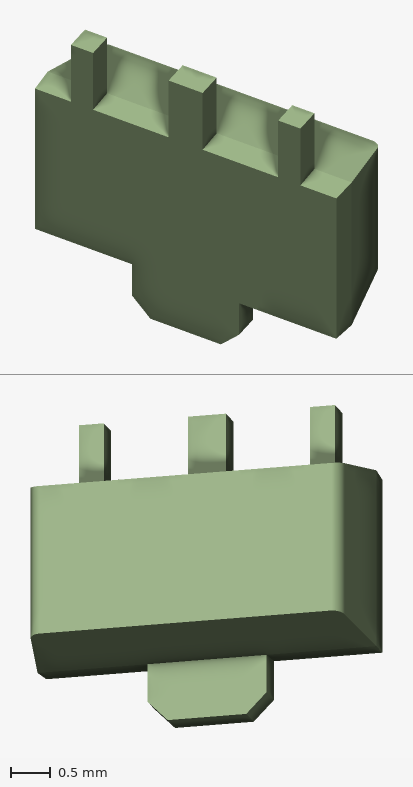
import cadquery as cq
import math

housing_width = 4.4
housing_height = 2.3
housing_depth = 1.4
housing_bottom = 0.752
front_draft = 3.0
back_draft = 10.0
back_edge_radius = 0.15

lead_thickness = 0.35
lead_top = 3.95
lead_pitch = 1.5
side_lead_width = 0.32

centre_lead_width = 0.495
pad_width = 1.71
tab_width = 1.55
tab_chamfer = 0.265
pad_bottom = 1.075
pad_shoulder = 2.37
neck_bottom = 2.965

housing_mid_height = housing_bottom + housing_height / 2
housing_top = housing_bottom + housing_height


def make_housing_half(depth, draft):
    """Block on the parting plane, tapering inward along its depth toward -Y."""
    return (
        cq.Workplane("XZ", origin=(0, lead_thickness, housing_mid_height))
        .rect(housing_width, housing_height)
        .extrude(depth, taper=draft)
    )


def make_blank_housing():
    """Whole housing, before the heat-sink tab is recessed into it."""
    front_half = make_housing_half(lead_thickness, front_draft)
    back_half = (
        make_housing_half(housing_depth - lead_thickness, back_draft)
        .mirror("XZ", (0, lead_thickness, 0))
    )
    rounded_back = back_half.faces(">Y").edges("<X or >X").fillet(back_edge_radius)
    return front_half.union(rounded_back)


def make_heat_sink_tab():
    """Flat centre lead with a wide pad and a chamfered tab end."""
    right_side = [
        (tab_width / 2 - tab_chamfer, 0),
        (tab_width / 2, tab_chamfer),
        (tab_width / 2, pad_bottom),
        (pad_width / 2, pad_bottom),
        (pad_width / 2, pad_shoulder),
        (centre_lead_width / 2, neck_bottom),
        (centre_lead_width / 2, lead_top),
    ]
    left_side = [(-x, z) for x, z in reversed(right_side)]
    return cq.Workplane("XZ").polyline(right_side + left_side).close().extrude(-lead_thickness)


def make_side_lead(x, blank_housing):
    """Straight lead whose foot is trimmed to the drafted top of the housing."""
    foot = housing_top - lead_thickness * math.tan(math.radians(front_draft))
    lead = cq.Workplane("XY", origin=(x, lead_thickness / 2, foot)).rect(
        side_lead_width, lead_thickness
    ).extrude(lead_top - foot)
    return lead.cut(blank_housing)


blank_housing = make_blank_housing()
heat_sink_tab = make_heat_sink_tab()
housing = blank_housing.cut(heat_sink_tab)

side_leads = []
for x in (-lead_pitch, lead_pitch):
    side_leads.append(make_side_lead(x, blank_housing).val())

result = cq.Compound.makeCompound(
    [housing.solids().val(), heat_sink_tab.val()] + [lead.Solids()[0] for lead in side_leads]
)